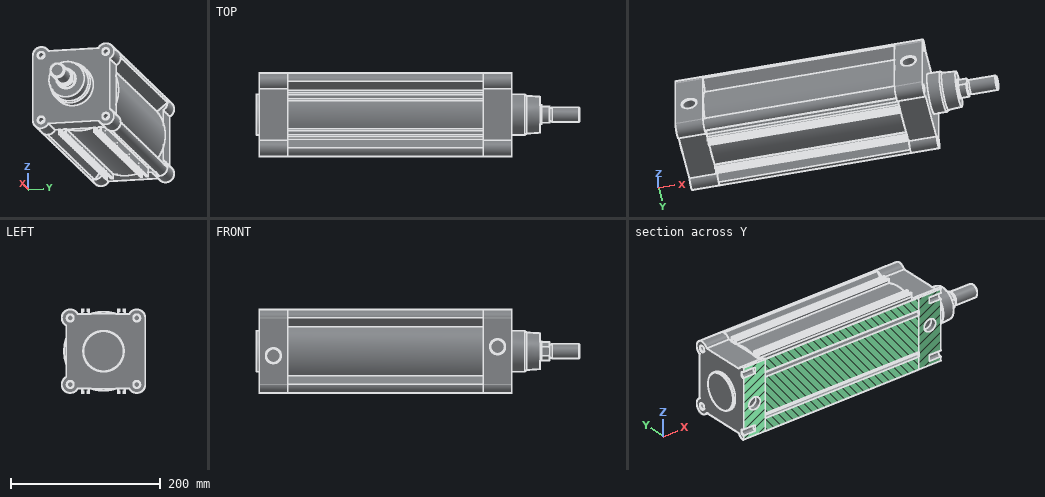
import cadquery as cq
import math


spigot_length = 4
cap_length = 38
barrel_length = 262
nose_collar_length = 17
nose_chamfer_length = 2.7
nose_length = 38
rod_shoulder_reach = 51
cap_start = spigot_length
barrel_start = cap_start + cap_length
barrel_end = barrel_start + barrel_length
front_face = barrel_end + cap_length
nose_tip = front_face + nose_length
rod_shoulder = front_face + rod_shoulder_reach
body_middle = (cap_start + front_face) / 2

half_body = 56
screw_offset = 44.5
corner_radius = half_body - screw_offset
corner_points = [(y, z) for y in (-screw_offset, screw_offset) for z in (-screw_offset, screw_offset)]

cap_recess = 6
half_core = half_body - cap_recess
screw_hole_diameter = 8.5
screw_mouth_diameter = 10
screw_hole_depth = 20
port_diameter = 18.6
port_mouth_diameter = 21
port_offset = 6
port_depth = 20

spigot_diameter = 55
spigot_chamfer = 0.8
nose_base_diameter = 51
nose_tip_diameter = 48.6
wiper_diameter = 26
wiper_length = 1.8

barrel_radius = 53
corner_foot = 33
slot_position = 24.1
slot_mouth = 5.2
slot_floor = 49
rail_width = 10.4
rail_wall = 1.3
rail_lip = 2.6

rod_diameter = 25
rod_chamfer = 1
flat_width = 22
flat_start = nose_tip + wiper_length
thread_diameter = 20
thread_length = 40
thread_chamfer = 1.5
thread_root_diameter = 17
thread_runout_length = 3


def x_cylinder(start, length, diameter):
    """Solid cylinder on the X axis."""
    return cq.Workplane("YZ", origin=(start, 0, 0)).circle(diameter / 2).extrude(length)


def chamfered_hole(mouth, direction, diameter, mouth_diameter, depth):
    """Cutter for a blind hole that has a 45 degree chamfer at its mouth."""
    point = cq.Vector(*mouth)
    axis = cq.Vector(*direction)
    drill = cq.Solid.makeCylinder(diameter / 2, depth, point, axis)
    chamfer_depth = (mouth_diameter - diameter) / 2
    countersink = cq.Solid.makeCone(mouth_diameter / 2, diameter / 2, chamfer_depth, point, axis)
    return cq.Workplane(drill).union(cq.Workplane(countersink))


def make_plain_cap():
    """Cap in the rear position without its spigot: round corner lugs, and a full flat on the -Y side."""
    face = cq.Workplane("YZ", origin=(cap_start, 0, 0))
    cap = face.rect(2 * half_core, 2 * half_core).extrude(cap_length)
    cap = cap.union(face.pushPoints(corner_points).circle(corner_radius).extrude(cap_length))
    port_pad = (
        face.center(-half_body / 2, 0)
        .rect(half_body, 2 * screw_offset)
        .extrude(cap_length)
    )
    cap = cap.union(port_pad)

    for y, z in corner_points:
        screw_hole = chamfered_hole(
            (cap_start, y, z), (1, 0, 0), screw_hole_diameter, screw_mouth_diameter, screw_hole_depth
        )
        cap = cap.cut(screw_hole)

    port_center = (cap_start + cap_length / 2, -half_body, -port_offset)
    port = chamfered_hole(port_center, (0, 1, 0), port_diameter, port_mouth_diameter, port_depth)
    return cap.cut(port)


def make_rear_cap():
    spigot = x_cylinder(0, spigot_length, spigot_diameter).faces("<X").chamfer(spigot_chamfer)
    return make_plain_cap().union(spigot)


def make_front_cap():
    """The plain cap turned end for end about Y, with a stepped nose and a bore for the rod."""
    cap = make_plain_cap().rotate((body_middle, 0, 0), (body_middle, 1, 0), 180)
    collar_end = front_face + nose_collar_length
    nose = (
        cq.Workplane("XY")
        .moveTo(front_face, 0)
        .lineTo(front_face, spigot_diameter / 2)
        .lineTo(collar_end, spigot_diameter / 2)
        .lineTo(collar_end + nose_chamfer_length, nose_base_diameter / 2)
        .lineTo(nose_tip, nose_tip_diameter / 2)
        .lineTo(nose_tip, wiper_diameter / 2)
        .lineTo(nose_tip + wiper_length, wiper_diameter / 2)
        .lineTo(nose_tip + wiper_length, 0)
        .close()
        .revolve(360, (0, 0, 0), (1, 0, 0))
    )
    rod_bore = x_cylinder(barrel_end, cap_length + nose_length + wiper_length, rod_diameter)
    return cap.union(nose).cut(rod_bore)


def make_corner_rib():
    """Barrel rib at the +Y +Z corner, with flanks that slope down to the round tube."""
    foot_height = math.sqrt(barrel_radius**2 - corner_foot**2)
    corner_middle = screw_offset + corner_radius * math.sqrt(0.5)
    return (
        cq.Workplane("YZ", origin=(barrel_start, 0, 0))
        .moveTo(corner_foot, foot_height)
        .lineTo(screw_offset, half_body)
        .threePointArc((corner_middle, corner_middle), (half_body, screw_offset))
        .lineTo(foot_height, corner_foot)
        .lineTo(0, 0)
        .close()
        .extrude(barrel_length)
    )


def barrel_strip(y, width, low, high):
    """Bar along the whole barrel, centred on y, between two heights."""
    return (
        cq.Workplane("YZ", origin=(barrel_start, y, (low + high) / 2))
        .rect(width, high - low)
        .extrude(barrel_length)
    )


def make_barrel():
    barrel = x_cylinder(barrel_start, barrel_length, 2 * barrel_radius)
    corner_rib = make_corner_rib()
    for quarter in range(4):
        barrel = barrel.union(corner_rib.rotate((0, 0, 0), (1, 0, 0), 90 * quarter))

    for turn in (0, 180):
        for y in (-slot_position, slot_position):
            rail = barrel_strip(y, rail_width, 0, half_body)
            chamber = barrel_strip(y, rail_width - 2 * rail_wall, slot_floor, half_body - rail_lip)
            mouth = barrel_strip(y, slot_mouth, slot_floor, half_body)
            slot = chamber.union(mouth)
            barrel = barrel.union(rail.rotate((0, 0, 0), (1, 0, 0), turn))
            barrel = barrel.cut(slot.rotate((0, 0, 0), (1, 0, 0), turn))
    return barrel


def make_rod():
    """Rod from the barrel's front face to the thread's end, with two wrench flats facing +Y and -Y."""
    rod = x_cylinder(barrel_end, rod_shoulder - barrel_end, rod_diameter).faces(">X").chamfer(rod_chamfer)
    flat_length = rod_shoulder - flat_start
    flat_depth = (rod_diameter - flat_width) / 2
    for side in (-1, 1):
        flat_center = side * (flat_width + flat_depth) / 2
        flat = (
            cq.Workplane("YZ", origin=(flat_start, flat_center, 0))
            .rect(flat_depth, rod_diameter)
            .extrude(flat_length)
        )
        rod = rod.cut(flat)

    thread_end = rod_shoulder + thread_length
    thread = (
        cq.Workplane("XY")
        .moveTo(rod_shoulder, 0)
        .lineTo(rod_shoulder, thread_root_diameter / 2)
        .lineTo(rod_shoulder + thread_runout_length, thread_diameter / 2)
        .lineTo(thread_end - thread_chamfer, thread_diameter / 2)
        .lineTo(thread_end, thread_diameter / 2 - thread_chamfer)
        .lineTo(thread_end, 0)
        .close()
        .revolve(360, (0, 0, 0), (1, 0, 0))
    )
    return rod.union(thread)


rear_cap = make_rear_cap().solids()
barrel = make_barrel().solids()
front_cap = make_front_cap().solids()
rod = make_rod().solids()

result = cq.Compound.makeCompound([rear_cap.val(), barrel.val(), front_cap.val(), rod.val()])